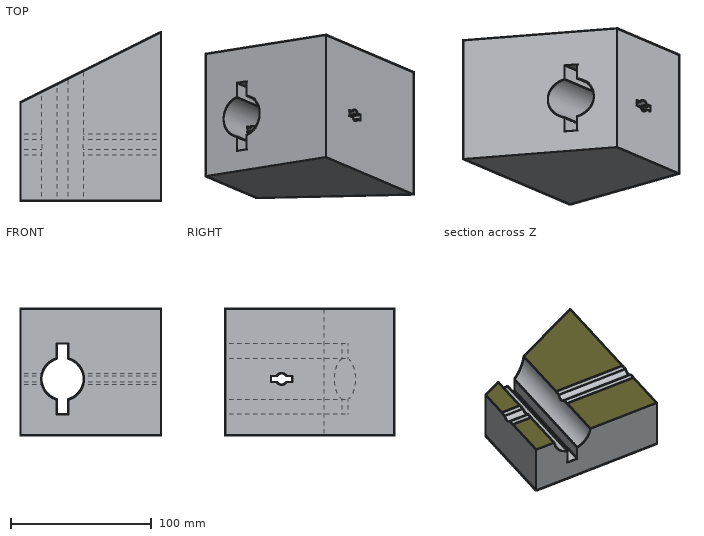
import cadquery as cq

width = 100.0
short_depth = 70.0
long_depth = 120.0
height = 90.0

axis_height = 40.0

front_hole_x = 30.0
front_hole_diameter = 30.0
front_slot_width = 8.0
front_slot_height = 50.0

side_hole_y = 40.0
side_hole_diameter = 8.0
side_slot_length = 15.0
side_slot_height = 4.0


def make_block():
    outline = [(0, 0), (width, 0), (width, long_depth), (0, short_depth)]
    return cq.Workplane("XY").polyline(outline).close().extrude(height)


def keyed_cutter(plane, diameter, slot_across, slot_up, length):
    """Round bar joined to a rectangular bar on the same axis, along the plane normal."""
    bar = cq.Workplane(plane).circle(diameter / 2).extrude(length)
    key = cq.Workplane(plane).rect(slot_across, slot_up).extrude(length)
    return bar.union(key)


front_plane = cq.Plane(origin=(front_hole_x, 0, axis_height), xDir=(-1, 0, 0), normal=(0, 1, 0))
side_plane = cq.Plane(origin=(0, side_hole_y, axis_height), xDir=(0, 1, 0), normal=(1, 0, 0))

front_cutter = keyed_cutter(
    front_plane, front_hole_diameter, front_slot_width, front_slot_height, long_depth
)
side_cutter = keyed_cutter(
    side_plane, side_hole_diameter, side_slot_length, side_slot_height, width
)

result = make_block().cut(front_cutter).cut(side_cutter)